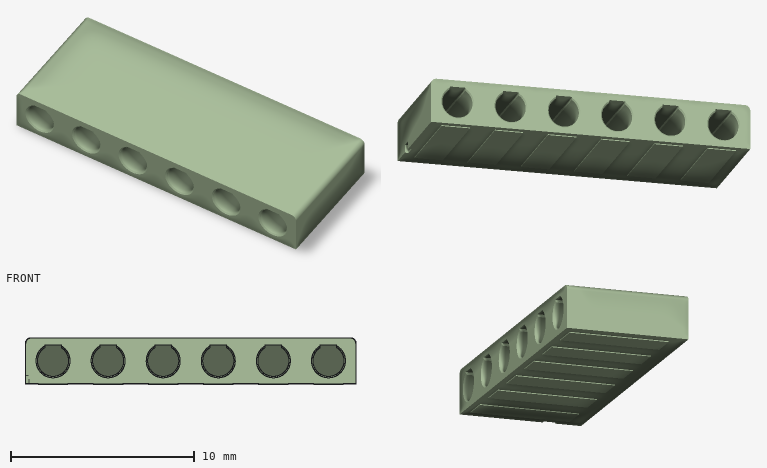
import cadquery as cq

length = 18.0
width = 7.0
overall_height = 2.55
pad_thickness = 0.05
body_height = overall_height - pad_thickness
edge_radius = 0.3

contact_count = 6
contact_pitch = 3.0
first_contact_x = -contact_pitch * (contact_count - 1) / 2
contact_xs = [first_contact_x + i * contact_pitch for i in range(contact_count)]

bore_radius = 0.85
bore_chamfer = 0.075
bore_depth = 5.0
bore_z = body_height / 2
mouth_radius = bore_radius + bore_chamfer

keyway_width = 0.9
keyway_height = 0.87

pad_width = 1.6
pad_front_y = -3.1
pad_rear_y = 2.6
pad_length = pad_rear_y - pad_front_y

notch_width = 0.7
notch_height = 0.45
notch_depth = 0.2
notch_y = 1.65


def make_body():
    """Block with its two upper end edges rounded."""
    block = cq.Workplane("XY").box(length, width, body_height, centered=(True, True, False))
    return block.edges("|Y and >Z").fillet(edge_radius)


def make_bore(x):
    """Material removed for one wire entry: bore, mouth chamfer and keyway."""
    profile = (
        cq.Workplane("XY")
        .moveTo(0, 0)
        .lineTo(mouth_radius, 0)
        .lineTo(bore_radius, bore_chamfer)
        .lineTo(bore_radius, bore_depth)
        .lineTo(0, bore_depth)
        .close()
    )
    bore = profile.revolve(360, (0, 0, 0), (0, 1, 0))
    keyway = cq.Workplane("XY").box(
        keyway_width, bore_depth, keyway_height, centered=(True, False, False)
    )
    below_roof = cq.Workplane("XY").box(
        2 * mouth_radius, bore_depth, 2 * mouth_radius, centered=(True, False, False)
    )
    below_roof = below_roof.translate((0, 0, keyway_height - 2 * mouth_radius))
    return bore.intersect(below_roof).union(keyway).translate((x, -width / 2, bore_z))


def make_pad(x):
    """One solder pad under the body."""
    pad = cq.Workplane("XY").box(pad_width, pad_length, pad_thickness, centered=(True, False, False))
    return pad.translate((x, pad_front_y, -pad_thickness))


def make_notch():
    """Material removed from the foot of the left face."""
    notch = cq.Workplane("XY").box(
        notch_depth, notch_width, notch_height, centered=(False, True, False)
    )
    return notch.translate((-length / 2, notch_y, 0))


result = make_body().cut(make_notch())
for contact_x in contact_xs:
    result = result.cut(make_bore(contact_x))
    result = result.union(make_pad(contact_x))